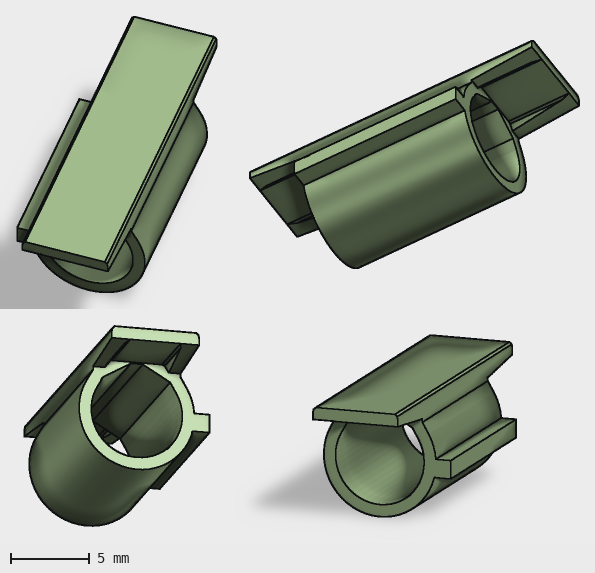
import cadquery as cq
import math

bore_radius = 3.0
wall = 0.8
ring_length = 12.0
flank_angle = math.radians(30)
bore_corner_angle = math.radians(45)
bore_flat_top = 3.24

plate_length = 21.0
plate_width = 5.76
plate_top = 4.13
plate_end_thickness = 0.8
plate_root_thickness = 1.3
edge_break_top_inset = 0.20
edge_break_mid_inset = 0.045
edge_break_mid_drop = 0.14
edge_break_drop = 0.36

relief_floor_half_width = 2.11
relief_corner_half_width = 1.84
relief_roof_half_width = 1.65
relief_corner_drop = 0.07

tab_reach = 4.8
tab_top = 0.27
tab_thickness = 1.2

ring_radius = bore_radius + wall
plate_half_width = plate_width / 2
plate_end_bottom = plate_top - plate_end_thickness
plate_root_bottom = plate_top - plate_root_thickness


def on_circle(radius, angle):
    return radius * math.cos(angle), radius * math.sin(angle)


def mirrored(point):
    return -point[0], point[1]


def extrude_along_y(profile, length):
    """Extrude an XZ profile by length, centred on Y = 0."""
    return profile.extrude(length / 2, both=True)


def make_ring_body():
    """Round below, with tangent flanks rising to the sides of the plate."""
    tangent = on_circle(ring_radius, flank_angle)
    flank_top_height = (ring_radius - plate_half_width * math.cos(flank_angle)) / math.sin(flank_angle)
    flank_top = (plate_half_width, flank_top_height)
    shoulder = (plate_half_width, plate_end_bottom)
    profile = (
        cq.Workplane("XZ")
        .moveTo(*tangent)
        .threePointArc((0, -ring_radius), mirrored(tangent))
        .lineTo(*mirrored(flank_top))
        .lineTo(*mirrored(shoulder))
        .lineTo(*shoulder)
        .lineTo(*flank_top)
        .close()
    )
    return extrude_along_y(profile, ring_length)


def make_bore():
    """Round below, with two tangent flats per side and a flat roof above."""
    tangent = on_circle(bore_radius, flank_angle)
    corner = on_circle(bore_radius / math.cos(bore_corner_angle - flank_angle), bore_corner_angle)
    roof_half_width = (bore_radius - bore_flat_top * math.cos(flank_angle)) / math.sin(flank_angle)
    roof = (roof_half_width, bore_flat_top)
    profile = (
        cq.Workplane("XZ")
        .moveTo(*tangent)
        .threePointArc((0, -bore_radius), mirrored(tangent))
        .lineTo(*mirrored(corner))
        .lineTo(*mirrored(roof))
        .lineTo(*roof)
        .lineTo(*corner)
        .close()
    )
    return extrude_along_y(profile, ring_length)


def make_plate_envelope():
    """Plate cross-section with a shallow and a steep facet along each top edge."""
    bottom = (plate_half_width, plate_root_bottom)
    facet_bottom = (plate_half_width, plate_top - edge_break_drop)
    facet_middle = (plate_half_width - edge_break_mid_inset, plate_top - edge_break_mid_drop)
    facet_top = (plate_half_width - edge_break_top_inset, plate_top)
    right_side = [bottom, facet_bottom, facet_middle, facet_top]
    left_side = [mirrored(point) for point in reversed(right_side)]
    profile = cq.Workplane("XZ").polyline(right_side + left_side).close()
    return extrude_along_y(profile, plate_length)


def make_plate():
    """Flat plate whose overhangs thicken from the ends towards the ring."""
    plate = (
        cq.Workplane("YZ")
        .moveTo(-plate_length / 2, plate_top)
        .lineTo(plate_length / 2, plate_top)
        .lineTo(plate_length / 2, plate_end_bottom)
        .lineTo(ring_length / 2, plate_root_bottom)
        .lineTo(-ring_length / 2, plate_root_bottom)
        .lineTo(-plate_length / 2, plate_end_bottom)
        .close()
        .extrude(plate_half_width, both=True)
    )
    return plate.intersect(make_plate_envelope())


def make_relief():
    """Channel under the plate that leaves each overhang with two side ribs."""
    floor = (relief_floor_half_width, plate_root_bottom)
    corner = (relief_corner_half_width, plate_end_bottom - relief_corner_drop)
    roof = (relief_roof_half_width, plate_end_bottom)
    profile = cq.Workplane("XZ").polyline(
        [floor, corner, roof, mirrored(roof), mirrored(corner), mirrored(floor)]
    ).close()
    return extrude_along_y(profile, plate_length)


def make_tab():
    """Rectangular rail along the -X side of the ring, rooted inside the wall."""
    root = bore_radius + wall / 2
    profile = (
        cq.Workplane("XZ")
        .moveTo(-tab_reach, tab_top)
        .lineTo(-root, tab_top)
        .lineTo(-root, tab_top - tab_thickness)
        .lineTo(-tab_reach, tab_top - tab_thickness)
        .close()
    )
    return extrude_along_y(profile, ring_length)


overhanging_plate = make_plate().cut(make_relief())
result = overhanging_plate.union(make_ring_body()).union(make_tab()).cut(make_bore())